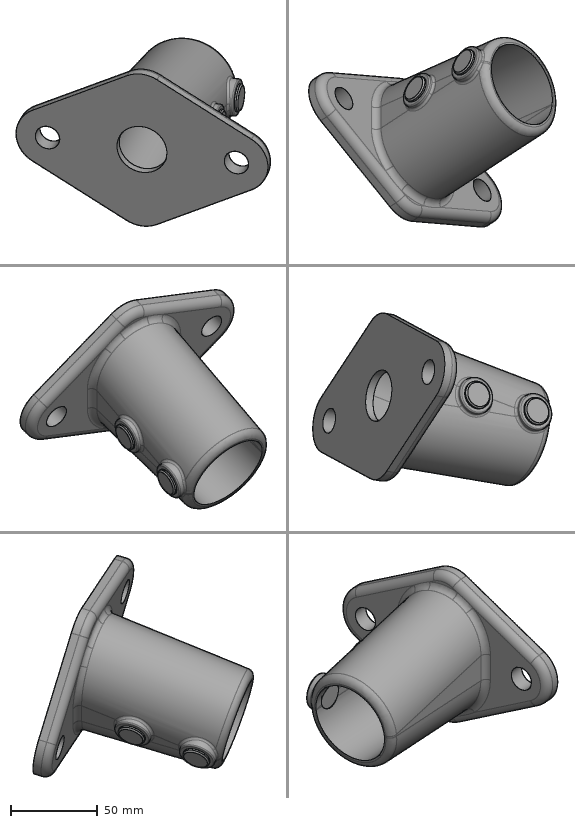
import cadquery as cq
import math

plate_length = 151.9
plate_height = 100.0
plate_thickness = 10.0
plate_corner_radius = 19.0
plate_edge_radius = 5.0
bolt_hole_diameter = 14.6
drain_hole_diameter = 30.0
drain_hole_z = 0.5
drain_ledge_depth = 5.0

socket_radius = 30.4
bore_radius = 24.9
socket_axis_z = -8.8
tilt_angle = 11.0
axes_meet_y = 100.2
rim_y = 99.0
rim_angle = 7.0
rim_radius = 4.5
socket_base_radius = 4.0

boss_centres = [(46.2, -1.0), (86.0, -4.9)]
boss_radius = 11.0
boss_face_x = 33.9
boss_face_radius = 0.8
boss_root_radius = 1.5
screw_radius = 8.2
screw_end_x = 35.8
screw_chamfer = 0.9

cutter_size = 2 * plate_length
socket_overrun = 30.4
tolerance = 0.02

bolt_hole_x = plate_length / 2 - plate_corner_radius
plate_corner_z = plate_height / 2 - plate_corner_radius
socket_start_y = plate_thickness / 2


def along_y(y, z=0.0, tilt=0.0):
    """Plane at (0, y, z) whose normal points along +Y, dipping towards -Z by the tilt angle."""
    dip = math.radians(tilt)
    return cq.Plane(origin=(0, y, z), xDir=(1, 0, 0), normal=(0, math.cos(dip), -math.sin(dip)))


def disc_along_x(radius, start_x, end_x, centre):
    """Cylinder along X between two X positions, centred on a (Y, Z) point."""
    y, z = centre
    return cq.Workplane("YZ", origin=(start_x, y, z)).circle(radius).extrude(end_x - start_x)


def behind_y(shape, y):
    """Keep the part of a shape on the +Y side of the given Y."""
    keep = cq.Workplane(along_y(y)).rect(cutter_size, cutter_size).extrude(cutter_size)
    return shape.intersect(keep)


def rim_cutter():
    """Block covering everything beyond the slanted open end of the socket."""
    return (
        cq.Workplane(along_y(rim_y, z=socket_axis_z, tilt=rim_angle))
        .rect(cutter_size, cutter_size)
        .extrude(cutter_size)
    )


def fanned_cylinder(radius, start_y):
    """Straight and tilted cylinders joined by the wedge that their axes span."""
    reach = axes_meet_y + socket_overrun
    straight = cq.Workplane(along_y(0, z=socket_axis_z)).circle(radius).extrude(axes_meet_y)
    tilted = (
        cq.Workplane(along_y(axes_meet_y, z=socket_axis_z, tilt=tilt_angle))
        .circle(radius)
        .extrude(-reach)
    )
    wedge_z = socket_axis_z + axes_meet_y * math.tan(math.radians(tilt_angle))
    wedge = (
        cq.Workplane("YZ")
        .polyline([(0, socket_axis_z), (axes_meet_y, socket_axis_z), (0, wedge_z)])
        .close()
        .extrude(radius, both=True)
    )
    return behind_y(straight.union(tilted).union(wedge), start_y)


def make_plate():
    """Rhombus with four equal corner rounds and a rounded rear edge."""
    run = math.hypot(bolt_hole_x, plate_corner_z)
    normal_x = plate_corner_radius * plate_corner_z / run
    normal_z = plate_corner_radius * bolt_hole_x / run
    end_x = bolt_hole_x + normal_x
    top_z = plate_corner_z + normal_z
    outline = (
        cq.Workplane(along_y(0))
        .moveTo(normal_x, top_z)
        .lineTo(end_x, normal_z)
        .threePointArc((plate_length / 2, 0), (end_x, -normal_z))
        .lineTo(normal_x, -top_z)
        .threePointArc((0, -plate_height / 2), (-normal_x, -top_z))
        .lineTo(-end_x, -normal_z)
        .threePointArc((-plate_length / 2, 0), (-end_x, normal_z))
        .lineTo(-normal_x, top_z)
        .threePointArc((0, plate_height / 2), (normal_x, top_z))
        .close()
    )
    return outline.extrude(plate_thickness).faces(">Y").edges().fillet(plate_edge_radius)


def add_socket(plate):
    """Solid socket with a rounded rim, blended into the rear face of the plate."""
    socket = fanned_cylinder(socket_radius, socket_start_y).cut(rim_cutter())
    socket = socket.faces(">Y").edges().fillet(rim_radius)
    footprint = cq.selectors.BoxSelector(
        (-socket_radius - tolerance, plate_thickness - tolerance, -plate_height / 2),
        (socket_radius + tolerance, plate_thickness + tolerance, plate_height / 2),
        boundingbox=True,
    )
    return plate.union(socket).edges(footprint).fillet(socket_base_radius)


def is_on_boss_wall(edge, centre):
    """True if the edge runs around the boss at the given (Y, Z) centre."""
    y, z = centre
    points = [edge.positionAt(t) for t in (0, 0.5, 1)]
    return all(abs(math.hypot(p.y - y, p.z - z) - boss_radius) < tolerance for p in points)


def add_boss(body, centre):
    """Round boss on the +X side, blended into the socket wall."""
    boss = disc_along_x(boss_radius, bore_radius, boss_face_x, centre)
    boss = boss.faces(">X").edges().fillet(boss_face_radius)
    body = body.union(boss)
    root_edges = [
        edge
        for edge in body.edges().vals()
        if edge.geomType() == "BSPLINE" and is_on_boss_wall(edge, centre)
    ]
    return body.newObject(root_edges).fillet(boss_root_radius)


def make_housing():
    """Flange, socket and bosses with the bore, drain, bolt and screw holes cut."""
    body = add_socket(make_plate())
    for centre in boss_centres:
        body = add_boss(body, centre)
    body = body.cut(fanned_cylinder(bore_radius, drain_ledge_depth))
    for centre in boss_centres:
        body = body.cut(disc_along_x(screw_radius, 0, boss_face_x, centre))
    drain = (
        cq.Workplane(along_y(0, z=drain_hole_z))
        .circle(drain_hole_diameter / 2)
        .extrude(drain_ledge_depth)
    )
    bolt_holes = (
        cq.Workplane(along_y(0))
        .pushPoints([(-bolt_hole_x, 0), (bolt_hole_x, 0)])
        .circle(bolt_hole_diameter / 2)
        .extrude(plate_thickness)
    )
    return body.cut(drain).cut(bolt_holes)


def make_set_screw(centre):
    """Set screw filling its boss hole from the bore to just beyond the boss face."""
    screw = disc_along_x(screw_radius, bore_radius, screw_end_x, centre)
    return screw.faces(">X").chamfer(screw_chamfer)


housing = make_housing()
set_screws = [make_set_screw(centre) for centre in boss_centres]

result = cq.Compound.makeCompound([housing.solids().val(), *[screw.solids().val() for screw in set_screws]])